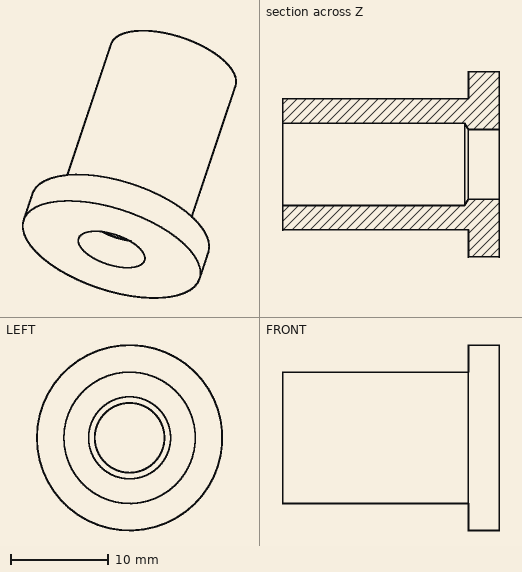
import cadquery as cq
import math

length = 22.23
flange_diameter = 19.05
flange_thickness = 3.18
body_diameter = 13.5

bore_diameter = 8.43
flange_hole_diameter = 7.14
cone_included_angle = 118.0

flange_start = length - flange_thickness
bore_radius = bore_diameter / 2
flange_hole_radius = flange_hole_diameter / 2
cone_length = (bore_radius - flange_hole_radius) / math.tan(math.radians(cone_included_angle / 2))

half_profile = [
    (0, bore_radius),
    (0, body_diameter / 2),
    (flange_start, body_diameter / 2),
    (flange_start, flange_diameter / 2),
    (length, flange_diameter / 2),
    (length, flange_hole_radius),
    (flange_start, flange_hole_radius),
    (flange_start - cone_length, bore_radius),
]

bushing = cq.Workplane("XY").polyline(half_profile).close().revolve(360, (0, 0, 0), (1, 0, 0))
result = bushing.translate((-length / 2, 0, 0))